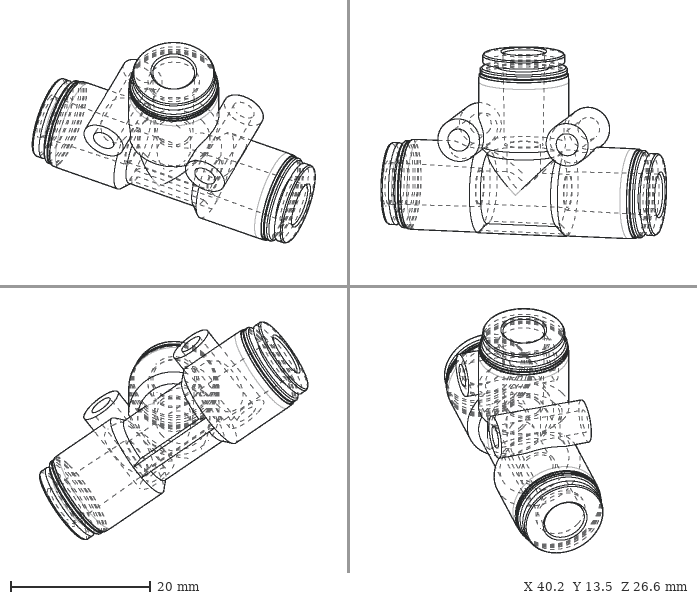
import cadquery as cq
import math

port_reach = 20.1
body_dia = 13.0
core_dia = 10.37
body_radius = body_dia / 2
core_radius = core_dia / 2

collar_dia = 11.8
collar_edge_width = 0.15
collar_edge_height = 0.25
collar_tip_height = 0.35
collar_thickness = 1.53
neck_dia = 7.4
neck_fillet = 0.32

cap_dia = 12.6
cap_chamfer = 0.25
cap_depth = 2.35
groove_center_depth = 3.0
groove_half_width = 0.1
groove_cut = 0.1
body_edge_depth = 3.4
body_taper_depth = 4.4
body_taper = 0.05

bore_dia = 4.8
socket_dia = 6.0
socket_floor_dia = 5.55
mouth_dia = 6.6
socket_end = body_radius

lug_dia = 6.2
lug_hole_dia = 3.2
lug_length = 13.5
lug_offset = 8.0
web_thickness = 2.0


def make_port():
    """Solid port revolved about Z, from the axis crossing up to its tip."""
    collar_radius = collar_dia / 2
    neck_radius = neck_dia / 2
    cap_radius = cap_dia / 2
    collar_back = port_reach - collar_thickness
    collar_shoulder = port_reach - collar_tip_height
    cap_top = port_reach - cap_depth
    groove_z = port_reach - groove_center_depth
    body_edge = port_reach - body_edge_depth
    fillet_inset = neck_fillet * (1 - math.sqrt(0.5))

    profile = (
        cq.Workplane("XZ")
        .lineTo(core_radius, 0)
        .lineTo(core_radius, core_radius)
        .lineTo(body_radius, body_radius)
        .lineTo(body_radius, port_reach - body_taper_depth)
        .lineTo(body_radius - body_taper, body_edge)
        .lineTo(cap_radius, body_edge)
        .lineTo(cap_radius, groove_z - groove_half_width)
        .lineTo(cap_radius - groove_cut, groove_z)
        .lineTo(cap_radius, groove_z + groove_half_width)
        .lineTo(cap_radius, cap_top - cap_chamfer)
        .lineTo(cap_radius - cap_chamfer, cap_top)
        .lineTo(neck_radius, cap_top)
        .lineTo(neck_radius, collar_back - neck_fillet)
        .threePointArc(
            (neck_radius + fillet_inset, collar_back - fillet_inset),
            (neck_radius + neck_fillet, collar_back),
        )
        .lineTo(collar_radius, collar_back)
        .lineTo(collar_radius, collar_shoulder - collar_edge_height)
        .lineTo(collar_radius - collar_edge_width, collar_shoulder)
        .lineTo(mouth_dia / 2, port_reach)
        .lineTo(0, port_reach)
        .close()
    )
    return profile.revolve(360, (0, 0, 0), (0, 1, 0))


def make_passage():
    """Bore, tapered tube socket and countersunk mouth of one port, about Z."""
    socket_radius = socket_dia / 2
    mouth_radius = mouth_dia / 2
    mouth_depth = mouth_radius - socket_radius
    profile = (
        cq.Workplane("XZ")
        .lineTo(bore_dia / 2, 0)
        .lineTo(bore_dia / 2, socket_end)
        .lineTo(socket_floor_dia / 2, socket_end)
        .lineTo(socket_radius, port_reach - mouth_depth)
        .lineTo(mouth_radius, port_reach)
        .lineTo(0, port_reach)
        .close()
    )
    return profile.revolve(360, (0, 0, 0), (0, 1, 0))


def make_web():
    """Flat web joining the two run bodies along the underside."""
    return cq.Workplane("XY").box(
        2 * body_radius, web_thickness, body_radius, centered=(True, True, False)
    ).translate((0, 0, -body_radius))


def lug_cylinders(diameter):
    """Cylinders along Y at the two lug positions."""
    return (
        cq.Workplane("XZ", origin=(0, lug_length / 2, 0))
        .pushPoints([(-lug_offset, lug_offset), (lug_offset, lug_offset)])
        .circle(diameter / 2)
        .extrude(lug_length)
    )


port_tilts = (0, 90, -90)

result = make_web().union(lug_cylinders(lug_dia))
for tilt in port_tilts:
    result = result.union(make_port().rotate((0, 0, 0), (0, 1, 0), tilt))
for tilt in port_tilts:
    result = result.cut(make_passage().rotate((0, 0, 0), (0, 1, 0), tilt))
result = result.cut(lug_cylinders(lug_hole_dia))